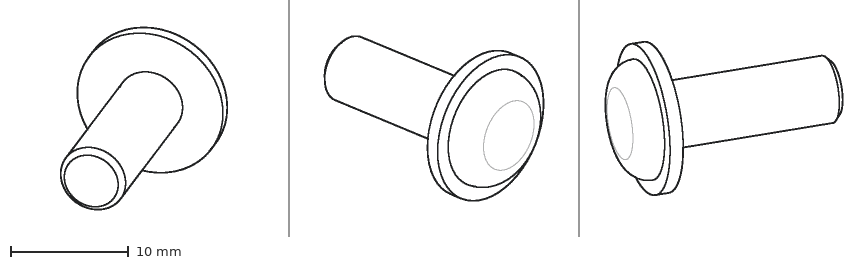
import cadquery as cq
import math

total_length = 19.3
shank_length = 16.0
flange_thickness = 1.2

shank_diameter = 5.8
flange_diameter = 13.0
head_diameter = 10.4

tip_chamfer = 0.5

shank_radius = shank_diameter / 2
head_radius = head_diameter / 2
flange_top = shank_length + flange_thickness
head_height = total_length - flange_top
head_flat_radius = head_radius - head_height


def make_shank():
    """Plain cylindrical shank with a chamfered tip."""
    shank = cq.Workplane("XZ").circle(shank_radius).extrude(-flange_top)
    return shank.faces("<Y").chamfer(tip_chamfer)


def make_flange():
    """Flat washer-like collar under the head."""
    flange = cq.Workplane("XZ", origin=(0, shank_length, 0))
    return flange.circle(flange_diameter / 2).extrude(-flange_thickness)


def make_head():
    """Domed pan head with a flat top, revolved about the screw axis."""
    arc_mid_offset = head_height * math.sqrt(0.5)
    crown_mid = (head_flat_radius + arc_mid_offset, flange_top + arc_mid_offset)
    return (
        cq.Workplane("XY")
        .moveTo(0, flange_top)
        .lineTo(head_radius, flange_top)
        .threePointArc(crown_mid, (head_flat_radius, total_length))
        .lineTo(0, total_length)
        .close()
        .revolve(360, (0, 0, 0), (0, 1, 0))
    )


result = make_shank().union(make_flange()).union(make_head())